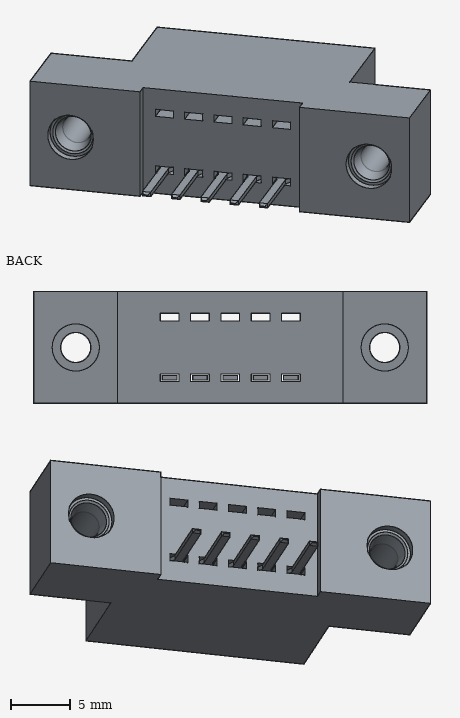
import cadquery as cq
import math

LENGTH = 33.02
HEIGHT = 9.4
WING_DEPTH = 6.8
NOSE_WIDTH = 18.95
NOSE_LENGTH = 8.2
RECESS_WIDTH = 13.87
RECESS_DEPTH = 1.02

CONTACT_COUNT = 5
PITCH = 2.55
ROW_SPACING = 5.1
SLOT_WIDTH = 1.55
SLOT_HEIGHT = 0.63

CONTACT_WIDTH = 1.25
CONTACT_THICKNESS = 0.4
CONTACT_INSET = 3.95
SHOULDER_LENGTH = 0.6
PIN_WIDTH = 0.73
PIN_REACH = 5.02
TIP_LENGTH = 0.25
TIP_INSET = 0.15

INSERT_SPACING = 25.95
INSERT_RADIUS = 1.98
INSERT_SINK = 0.75
COUNTERSINK_RADIUS = 1.75
COUNTERSINK_DEPTH = 0.13
THROAT_RADIUS = 1.55
TAPER_DEPTH = 1.22
BORE_RADIUS = 1.25

BACK_Y = WING_DEPTH + NOSE_LENGTH
TIP_BASE_Y = TIP_LENGTH - PIN_REACH
CONTACT_XS = [PITCH * (i - (CONTACT_COUNT - 1) / 2) for i in range(CONTACT_COUNT)]
UPPER_ROW_Z = ROW_SPACING / 2
LOWER_ROW_Z = -ROW_SPACING / 2
INSERT_XS = [-INSERT_SPACING / 2, INSERT_SPACING / 2]


def block(width, front_y, back_y, height):
    """Box centred on X and Z between two Y positions."""
    base = cq.Workplane("XY", origin=(0, front_y, 0))
    return base.box(width, back_y - front_y, height, centered=(True, False, True))


def make_housing():
    """Winged block with a front recess, two rows of slots and two insert holes."""
    body = block(LENGTH, 0, WING_DEPTH, HEIGHT)
    body = body.union(block(NOSE_WIDTH, WING_DEPTH, BACK_Y, HEIGHT))
    body = body.cut(block(RECESS_WIDTH, 0, RECESS_DEPTH, HEIGHT))
    slot = block(SLOT_WIDTH, 0, BACK_Y, SLOT_HEIGHT)
    for x in CONTACT_XS:
        for z in (UPPER_ROW_Z, LOWER_ROW_Z):
            body = body.cut(slot.translate((x, 0, z)))
    bore = cq.Workplane("XZ").circle(INSERT_RADIUS).extrude(-WING_DEPTH)
    for x in INSERT_XS:
        body = body.cut(bore.translate((x, 0, 0)))
    return body


def make_insert():
    """Sleeve with a countersunk, tapered mouth, turned about the Y axis."""
    throat_y = INSERT_SINK + COUNTERSINK_DEPTH
    return (
        cq.Workplane("XY")
        .polyline(
            [
                (INSERT_RADIUS, INSERT_SINK),
                (COUNTERSINK_RADIUS, INSERT_SINK),
                (THROAT_RADIUS, throat_y),
                (BORE_RADIUS, throat_y + TAPER_DEPTH),
                (BORE_RADIUS, WING_DEPTH),
                (INSERT_RADIUS, WING_DEPTH),
            ]
        )
        .close()
        .revolve(360, (0, 0, 0), (0, 1, 0))
    )


def make_contact():
    """Flat blade narrowing through a sloped shoulder to a pin with a pointed tip."""
    shoulder_y = RECESS_DEPTH + SHOULDER_LENGTH
    blade = block(CONTACT_WIDTH, shoulder_y, RECESS_DEPTH + CONTACT_INSET, CONTACT_THICKNESS)
    shoulder = (
        cq.Workplane("XY")
        .polyline(
            [
                (-PIN_WIDTH / 2, RECESS_DEPTH),
                (PIN_WIDTH / 2, RECESS_DEPTH),
                (CONTACT_WIDTH / 2, shoulder_y),
                (-CONTACT_WIDTH / 2, shoulder_y),
            ]
        )
        .close()
        .extrude(CONTACT_THICKNESS / 2, both=True)
    )
    pin = block(PIN_WIDTH, TIP_BASE_Y, RECESS_DEPTH, CONTACT_THICKNESS)
    tip_taper = math.degrees(math.atan(TIP_INSET / TIP_LENGTH))
    tip = (
        cq.Workplane("XZ", origin=(0, TIP_BASE_Y, 0))
        .rect(PIN_WIDTH, CONTACT_THICKNESS)
        .extrude(TIP_LENGTH, taper=tip_taper)
    )
    return blade.union(shoulder).union(pin).union(tip)


housing = make_housing()
inserts = [make_insert().translate((x, 0, 0)) for x in INSERT_XS]
contacts = [make_contact().translate((x, 0, LOWER_ROW_Z)) for x in CONTACT_XS]

result = cq.Compound.makeCompound(
    [housing.val(), *[insert.val() for insert in inserts], *[contact.val() for contact in contacts]]
)